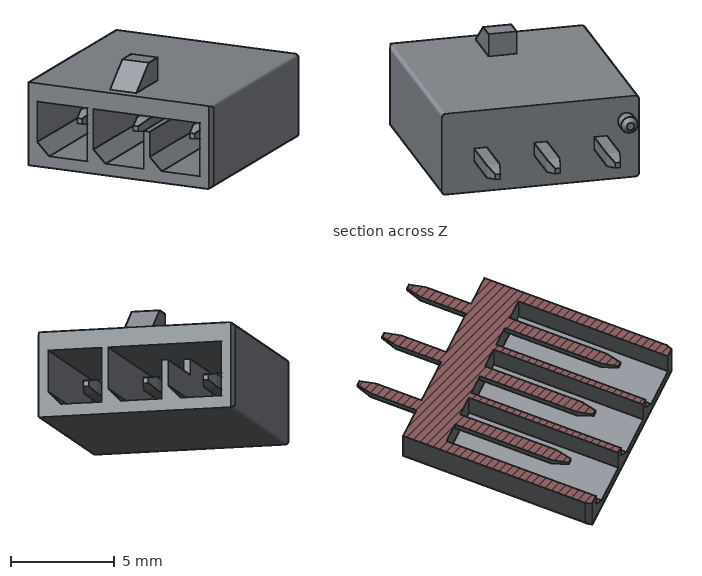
import cadquery as cq

overall_length = 13.09
overall_height = 5.33
body_width = 9.85
tail_length = 3.18
body_length = overall_length - tail_length
latch_height = 1.15
body_height = overall_height - latch_height
edge_radius = 0.2
front_bevel_inset = 0.12
front_bevel_length = 0.33

contact_count = 3
pitch = 3.0
cavity_size = 2.67
cavity_floor = 0.59
cavity_corner = 0.64
cavity_depth = 7.85
notch_height = 0.77
notch_length = 3.93
contact_height = cavity_floor + cavity_size / 2
contact_places = [(i - (contact_count - 1) / 2) * pitch for i in range(contact_count)]

pin_size = 0.64
pin_tip_size = 0.26
pin_taper = 0.81
pin_recess = 1.96

latch_width = 1.4
latch_front = 0.52
latch_back = 2.93
latch_flat = 1.01

peg_diameter = 0.82
peg_length = 0.81
peg_chamfer = 0.22
peg_x = -4.28
peg_z = 2.92


def make_body():
    """Rounded housing with its front side edges bevelled."""
    body = cq.Workplane("XY").box(body_width, body_length, body_height, centered=(True, False, False))
    body = body.edges("|Y").fillet(edge_radius)
    half_width = body_width / 2
    front_half_width = half_width - front_bevel_inset
    envelope = (
        cq.Workplane("XY")
        .moveTo(-front_half_width, 0)
        .lineTo(front_half_width, 0)
        .lineTo(half_width, front_bevel_length)
        .lineTo(half_width, body_length)
        .lineTo(-half_width, body_length)
        .lineTo(-half_width, front_bevel_length)
        .close()
        .extrude(body_height)
    )
    return body.intersect(envelope)


def make_cavity(x):
    """Square cavity with its lower left corner cut off."""
    left = x - cavity_size / 2
    right = x + cavity_size / 2
    top = cavity_floor + cavity_size
    return (
        cq.Workplane("XZ")
        .moveTo(left, top)
        .lineTo(right, top)
        .lineTo(right, cavity_floor)
        .lineTo(left + cavity_corner, cavity_floor)
        .lineTo(left, cavity_floor + cavity_corner)
        .close()
        .extrude(-cavity_depth)
    )


def make_notch():
    """Opening across the top of the wall between the last two cavities."""
    return cq.Workplane("XY").box(pitch, notch_length, notch_height, centered=(True, False, False)).translate(
        ((contact_places[-2] + contact_places[-1]) / 2, 0, cavity_floor + cavity_size - notch_height)
    )


def make_pin(x):
    """Square pin running along Y through the rear wall."""
    front_shoulder = pin_recess + pin_taper
    rear_shoulder = overall_length - pin_taper

    def section(y):
        return cq.Workplane("XZ", origin=(x, y, contact_height))

    def taper(shoulder, tip_offset):
        return (
            section(shoulder)
            .rect(pin_size, pin_size)
            .workplane(offset=tip_offset)
            .rect(pin_tip_size, pin_tip_size)
            .loft(ruled=True)
        )

    shank = section(front_shoulder).rect(pin_size, pin_size).extrude(front_shoulder - rear_shoulder)
    return shank.union(taper(front_shoulder, pin_taper)).union(taper(rear_shoulder, -pin_taper))


def make_latch():
    """Locking ramp rising from the front to a flat top."""
    return (
        cq.Workplane("YZ")
        .moveTo(latch_front, body_height)
        .lineTo(latch_back, body_height)
        .lineTo(latch_back, overall_height)
        .lineTo(latch_back - latch_flat, overall_height)
        .close()
        .extrude(latch_width / 2, both=True)
    )


def make_peg():
    """Round peg with a chamfered end."""
    peg = cq.Workplane("XZ", origin=(peg_x, body_length, peg_z)).circle(peg_diameter / 2).extrude(-peg_length)
    return peg.faces(">Y").chamfer(peg_chamfer)


result = make_body().cut(make_notch())
for place in contact_places:
    result = result.cut(make_cavity(place)).union(make_pin(place))
result = result.union(make_latch()).union(make_peg())

result = result.translate((0, -overall_length / 2, 0))